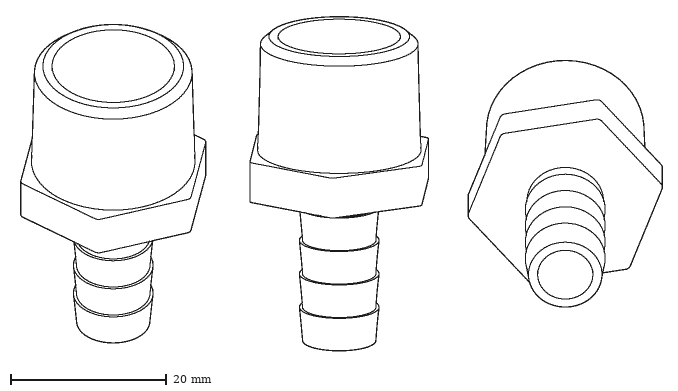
import cadquery as cq

total_height = 40.9
hex_bottom = 20.25
hex_top = 25.6

hex_across_flats = 22.25
hex_corner_radius = 0.8
hex_across_corners = hex_across_flats * 2 / 3**0.5

spigot_base_radius = 10.55
spigot_upper_radius = 10.2
spigot_rim_radius = 9.08
rim_chamfer_height = 1.0

barb_count = 4
barb_pitch = 4.5
barb_root_radius = 4.75
barb_lip_radius = 5.15
neck_top_radius = 4.95

cup_radius = 7.9
cup_floor = hex_top
passage_radius = 3.55


def make_collar():
    """Hexagonal prism with flats facing +X and -X and rounded corners."""
    return (
        cq.Workplane("XY")
        .workplane(offset=hex_bottom)
        .transformed(rotate=(0, 0, 90))
        .polygon(6, hex_across_corners)
        .extrude(hex_top - hex_bottom)
        .edges("|Z")
        .fillet(hex_corner_radius)
    )


def make_spigot():
    """Tapered round body with a chamfered rim."""
    return (
        cq.Workplane("XZ")
        .moveTo(0, hex_top)
        .lineTo(spigot_base_radius, hex_top)
        .lineTo(spigot_upper_radius, total_height - rim_chamfer_height)
        .lineTo(spigot_rim_radius, total_height)
        .lineTo(0, total_height)
        .close()
        .revolve(360, (0, 0, 0), (0, 1, 0))
    )


def make_tail():
    """Stack of barbs ending in a short neck under the collar."""
    profile = cq.Workplane("XZ").lineTo(barb_root_radius, 0)
    for barb in range(1, barb_count + 1):
        lip_height = barb * barb_pitch
        profile = profile.lineTo(barb_lip_radius, lip_height)
        profile = profile.lineTo(barb_root_radius, lip_height)
    return (
        profile.lineTo(neck_top_radius, hex_bottom)
        .lineTo(0, hex_bottom)
        .close()
        .revolve(360, (0, 0, 0), (0, 1, 0))
    )


def make_bores():
    """Through passage joined to the cup above it."""
    passage = cq.Workplane("XY").circle(passage_radius).extrude(total_height)
    cup = (
        cq.Workplane("XY")
        .workplane(offset=cup_floor)
        .circle(cup_radius)
        .extrude(total_height - cup_floor)
    )
    return passage.union(cup)


body = make_collar().union(make_spigot()).union(make_tail())
result = body.cut(make_bores())